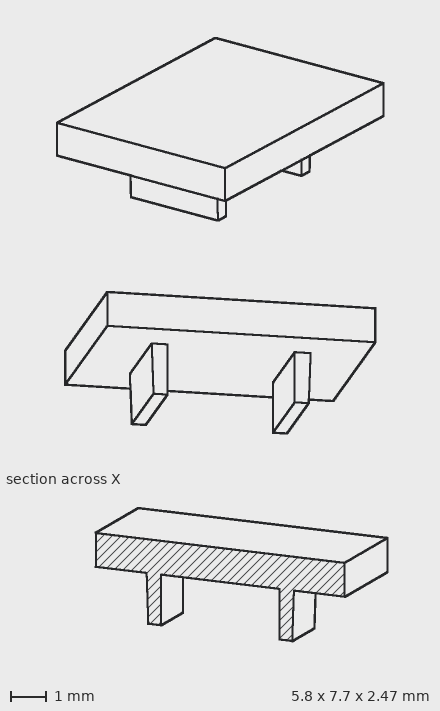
import cadquery as cq
import math

plate_length_x = 5.8
plate_width_y = 7.7
plate_thickness = 1.0

overall_height = 2.474
leg_height = overall_height - plate_thickness
leg_length_x = 3.0
leg_gap = 3.65
leg_root_thickness = 0.456
leg_draft_angle = 2.0


def make_plate():
    return cq.Workplane("XY").box(
        plate_length_x, plate_width_y, plate_thickness, centered=(True, True, False)
    )


def make_leg(side):
    """Leg on the +Y (side = 1) or -Y (side = -1) half, thinning towards its tip."""
    inner_y = leg_gap / 2
    root_y = inner_y + leg_root_thickness
    tip_y = root_y - leg_height * math.tan(math.radians(leg_draft_angle))
    profile = [
        (side * inner_y, 0),
        (side * root_y, 0),
        (side * tip_y, -leg_height),
        (side * inner_y, -leg_height),
    ]
    return cq.Workplane("YZ").polyline(profile).close().extrude(leg_length_x / 2, both=True)


result = make_plate()
for side in (-1, 1):
    result = result.union(make_leg(side))